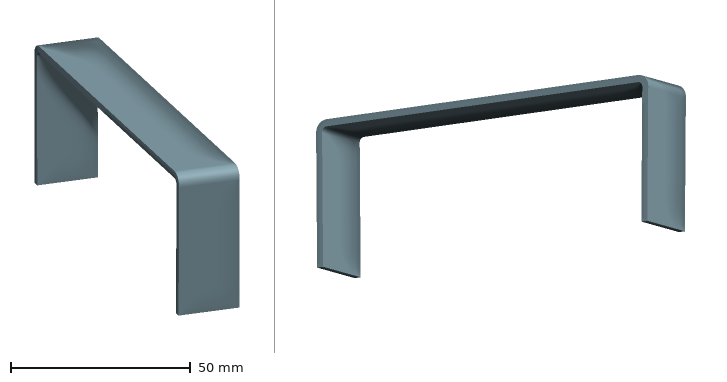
import math

import cadquery as cq

length = 113.4
width = 18.0
height = 41.7
thickness = 2.0

outer_radius = 3.5
inner_radius = outer_radius - thickness
leg_lean = math.radians(0.5)

bend_x = length / 2 - outer_radius
bend_z = height - outer_radius


def arch(radius):
    """Solid under a flat top, two bends of the given radius and two leaning sides."""

    def on_bend(angle):
        return bend_x + radius * math.cos(angle), bend_z + radius * math.sin(angle)

    top_z = bend_z + radius
    side_x, side_z = on_bend(-leg_lean)
    middle_x, middle_z = on_bend((math.pi / 2 - leg_lean) / 2)
    foot_x = side_x - side_z * math.tan(leg_lean)
    return (
        cq.Workplane("XZ")
        .moveTo(-foot_x, 0)
        .lineTo(-side_x, side_z)
        .threePointArc((-middle_x, middle_z), (-bend_x, top_z))
        .lineTo(bend_x, top_z)
        .threePointArc((middle_x, middle_z), (side_x, side_z))
        .lineTo(foot_x, 0)
        .close()
        .extrude(width / 2, both=True)
    )


result = arch(outer_radius).cut(arch(inner_radius))